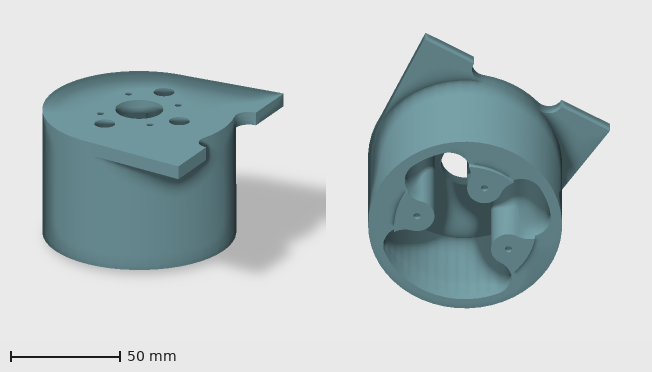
import cadquery as cq
import math

cup_radius = 44.4
cavity_radius = 39.5
cup_height = 60.9
plate_thickness = 6.3

flange_reach = 48.3
flange_half_width = 48.7
notch_radius = 6.6

shaft_hole_diameter = 22.0
screw_hole_diameter = 3.2
screw_half_spacing = 13.0

post_circle_radius = 22.9
post_radius = 8.0
flare_radius = 10.0
post_count = 3
first_post_angle = 90
post_angle_step = -97
post_angles = [first_post_angle + post_angle_step * i for i in range(post_count)]
foot_height = 2.5
foot_circle_radius = 32.5
counterbore_diameter = 9.5
counterbore_floor = plate_thickness


def polar(radius, angle, center=(0, 0)):
    """Point at a radius and an angle in radians around a center."""
    return (center[0] + radius * math.cos(angle), center[1] + radius * math.sin(angle))


def mirror_y(point):
    return (point[0], -point[1])


def make_flange():
    """Plate whose +X edge has two notches that run tangentially into the cup's outline."""
    notch_y = math.sqrt((cup_radius + notch_radius) ** 2 - flange_reach**2)
    notch_center = (flange_reach, notch_y)
    touch_angle = math.atan2(notch_y, flange_reach)
    touch_point = polar(cup_radius, touch_angle)
    notch_start = (flange_reach, notch_y + notch_radius)
    notch_middle = polar(notch_radius, (math.pi / 2 + math.pi + touch_angle) / 2, notch_center)
    return (
        cq.Workplane("XY")
        .workplane(offset=cup_height - plate_thickness)
        .moveTo(0, cup_radius)
        .lineTo(flange_reach, flange_half_width)
        .lineTo(*notch_start)
        .threePointArc(notch_middle, touch_point)
        .threePointArc((cup_radius, 0), mirror_y(touch_point))
        .threePointArc(mirror_y(notch_middle), mirror_y(notch_start))
        .lineTo(flange_reach, -flange_half_width)
        .lineTo(0, -cup_radius)
        .threePointArc((-cup_radius, 0), (0, cup_radius))
        .close()
        .extrude(plate_thickness)
    )


def make_cup():
    """Tube wall below the flange plate, running up to the top face."""
    cavity = cq.Workplane("XY").circle(cavity_radius).extrude(cup_height - plate_thickness)
    return cq.Workplane("XY").circle(cup_radius).extrude(cup_height).cut(cavity)


def make_post(angle):
    """Round-nosed post whose flared sides blend tangentially into the cavity wall."""
    center_distance = cavity_radius - flare_radius
    wall_cosine = (post_circle_radius**2 + center_distance**2 - (post_radius + flare_radius) ** 2) / (
        2 * post_circle_radius * center_distance
    )
    wall_angle = math.acos(wall_cosine)
    wall_point = polar(cavity_radius, wall_angle)
    flare_center = polar(center_distance, wall_angle)
    post_center = (post_circle_radius, 0)
    side_angle = math.atan2(flare_center[1], flare_center[0] - post_circle_radius)
    side_point = polar(post_radius, side_angle, post_center)
    flare_middle = polar(flare_radius, (wall_angle + side_angle - math.pi) / 2, flare_center)
    post = (
        cq.Workplane("XY")
        .workplane(offset=-foot_height)
        .moveTo(*side_point)
        .threePointArc(flare_middle, wall_point)
        .threePointArc((cavity_radius, 0), mirror_y(wall_point))
        .threePointArc(mirror_y(flare_middle), mirror_y(side_point))
        .threePointArc((post_circle_radius - post_radius, 0), side_point)
        .close()
        .extrude(foot_height + cup_height - plate_thickness)
        .rotate((0, 0, 0), (0, 0, 1), angle)
    )
    foot_trim = (
        cq.Workplane("XY")
        .workplane(offset=-foot_height)
        .circle(cup_radius)
        .circle(foot_circle_radius)
        .extrude(foot_height)
    )
    return post.cut(foot_trim)


def drill(body, points, diameter, bottom=-foot_height):
    """Cut round holes from the top face down to a given height."""
    holes = (
        cq.Workplane("XY")
        .workplane(offset=bottom)
        .pushPoints(points)
        .circle(diameter / 2)
        .extrude(cup_height - bottom)
    )
    return body.cut(holes)


body = make_cup().union(make_flange())
for post_angle in post_angles:
    body = body.union(make_post(post_angle))

body = drill(body, [(0, 0)], shaft_hole_diameter)
screw_points = [
    (x, y)
    for x in (-screw_half_spacing, screw_half_spacing)
    for y in (-screw_half_spacing, screw_half_spacing)
]
body = drill(body, screw_points, screw_hole_diameter)

post_points = [polar(post_circle_radius, math.radians(angle)) for angle in post_angles]
body = drill(body, post_points, screw_hole_diameter)
body = drill(body, post_points, counterbore_diameter, counterbore_floor - foot_height)

result = body